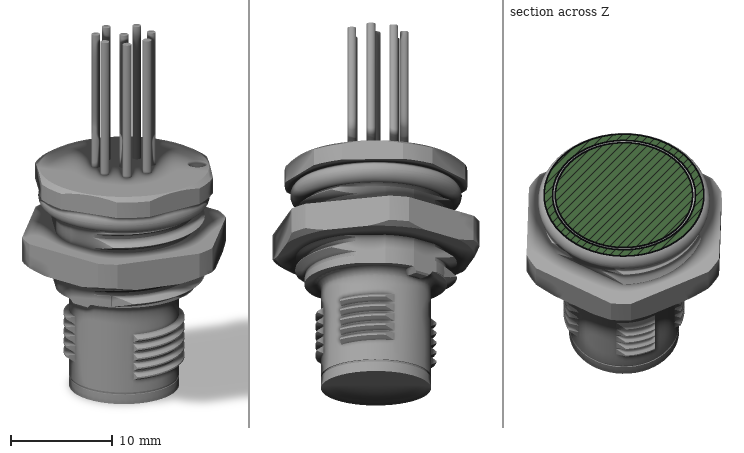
import cadquery as cq
import math

TOTAL_HEIGHT = 37.0

BARREL_RADIUS = 5.45
END_RING_HEIGHT = 1.0
END_GROOVE_WIDTH = 0.22
END_GROOVE_DEPTH = 0.1
SHOULDER_FILLET = 0.7

BARREL_THREAD_PITCH = 1.0
BARREL_THREAD_TURNS = 5
BARREL_CREST_RADIUS = 6.0
BARREL_TOOTH_BASE = 0.8
BARREL_TOOTH_TIP = 0.15
BARREL_THREAD_START_ANGLE = -50.0
BARREL_THREAD_START_Z = 2.9
BARREL_FLAT_OFFSET = 5.0
BLOCK_END_LEAN = 30.0
THREAD_BLOCKS = [(188.0, 1, -1), (155.5, -1, 1), (-41.3, 1, 1)]

BODY_BOTTOM = 10.75
BODY_TOP = 18.75
BODY_ROOT_RADIUS = 7.03
BODY_CORNER_RADIUS = 6.95
BODY_CREST_RADIUS = 8.0
BODY_FLAT_OFFSET = 6.85
BODY_FLAT_ANGLES = (90.0, -90.0, -135.0)
BODY_THREAD_PITCH = 1.5 * BARREL_THREAD_PITCH
BODY_THREAD_TURNS = 5.2
BODY_TOOTH_BASE = 1.15
BODY_TOOTH_TIP = 0.05
BODY_THREAD_START_ANGLE = -61.0
BODY_THREAD_START_Z = 11.45
BODY_THREAD_END_FACE_ANGLE = 13.0
LAND_HEIGHT = 0.055
NECK_RADIUS = 6.8

TAB_HEIGHT = 0.55
TAB_TOP_WIDTH = 2.5
TAB_BOTTOM_WIDTH = 1.55
TAB_CHAMFER = 0.2

NUT_BOTTOM = 13.7
NUT_HEIGHT = 2.92
NUT_ACROSS_FLATS = 19.0
NUT_ACROSS_CORNERS = 20.9
NUT_FACE_RADIUS = 9.75

FLANGE_BOTTOM = 21.0
FLANGE_HEIGHT = 2.0
FLANGE_ACROSS_FLATS = 17.02
FLANGE_CORNER_RADIUS = 9.03
FLANGE_FACE_RADIUS = 8.4
FLANGE_TURN = 15.0
HEX_CHAMFER_ANGLE = 30.0

ORING_SECTION_RADIUS = 1.0
ORING_CENTRE_RADIUS = 7.47

DIMPLE_ANGLE = 45.0
DIMPLE_OFFSET = 7.3
DIMPLE_RADIUS = 0.95
DIMPLE_FLOOR_RADIUS = 0.78
DIMPLE_DEPTH = 0.2

WIRE_DIAMETER = 0.85
WIRE_CIRCLE_RADIUS = 2.78
WIRE_COUNT = 7
WIRE_STEP = 49.0
MIDDLE_WIRE_ANGLE = -45.0

OVERLAP = 0.1
REACH = 14.8
BLOCK_END_REACH = 2.22

FLANGE_TOP = FLANGE_BOTTOM + FLANGE_HEIGHT


def polar(radius, angle):
    """Point at the given radius and angle (degrees) in the XY plane."""
    return (radius * math.cos(math.radians(angle)), radius * math.sin(math.radians(angle)))


def disc(radius, bottom, top):
    """Cylinder about the Z axis between two heights."""
    return cq.Workplane("XY").workplane(offset=bottom).circle(radius).extrude(top - bottom)


def helical_tooth(root_radius, crest_radius, base, tip, pitch, turns, start_angle, start_z):
    """Right-handed thread ridge whose foot is sunk slightly into the core."""
    foot_radius = root_radius - OVERLAP
    flank_slope = (base - tip) / (crest_radius - root_radius)
    foot_width = base + flank_slope * OVERLAP
    path = cq.Wire.makeHelix(pitch, pitch * turns, foot_radius)
    profile = [
        (foot_radius, -foot_width / 2),
        (crest_radius, -tip / 2),
        (crest_radius, tip / 2),
        (foot_radius, foot_width / 2),
    ]
    ridge = cq.Workplane("XZ").polyline(profile).close().sweep(cq.Workplane(path), isFrenet=True)
    return ridge.rotate((0, 0, 0), (0, 0, 1), start_angle).translate((0, 0, start_z))


def rounded_hexagon(across_flats, corner_radius, bottom, height):
    """Hexagonal prism with flats facing +Y and -Y and its corners turned to a cylinder."""
    across_corners = across_flats / math.cos(math.radians(30))
    prism = cq.Workplane("XY").workplane(offset=bottom).polygon(6, across_corners).extrude(height)
    return prism.intersect(disc(corner_radius, bottom, bottom + height))


def corner_cone(face_radius, face_z, inward):
    """Cone bounding a chamfered hexagon face; it widens in the inward Z direction (+1 or -1)."""
    rise = (REACH - face_radius) * math.tan(math.radians(HEX_CHAMFER_ANGLE))
    outline = [
        (0, face_z),
        (face_radius, face_z),
        (REACH, face_z + inward * rise),
        (REACH, face_z + inward * REACH),
        (0, face_z + inward * REACH),
    ]
    return cq.Workplane("XZ").polyline(outline).close().revolve(360, (0, 0), (0, 1))


def make_barrel():
    """Round barrel with an end groove and a concave fillet up to the threaded body."""
    groove_radius = BARREL_RADIUS - END_GROOVE_DEPTH
    groove_top = END_RING_HEIGHT + END_GROOVE_WIDTH
    fillet_bottom = BODY_BOTTOM - SHOULDER_FILLET
    fillet_outer = BARREL_RADIUS + SHOULDER_FILLET
    fillet_middle = (
        fillet_outer - SHOULDER_FILLET * math.cos(math.radians(45)),
        fillet_bottom + SHOULDER_FILLET * math.sin(math.radians(45)),
    )
    outline = (
        cq.Workplane("XZ")
        .moveTo(0, 0)
        .lineTo(BARREL_RADIUS, 0)
        .lineTo(BARREL_RADIUS, END_RING_HEIGHT)
        .lineTo(groove_radius, END_RING_HEIGHT)
        .lineTo(groove_radius, groove_top)
        .lineTo(BARREL_RADIUS, groove_top)
        .lineTo(BARREL_RADIUS, fillet_bottom)
        .threePointArc(fillet_middle, (fillet_outer, BODY_BOTTOM))
        .lineTo(0, BODY_BOTTOM)
        .close()
    )
    return outline.revolve(360, (0, 0), (0, 1))


def make_block_prism(end_angle, lean_side, flat_side):
    """Prism around one thread block, from its leaning end face to its flat parallel to XZ."""
    foot_x, foot_y = polar(BARREL_RADIUS, end_angle)
    step_x, step_y = polar(BLOCK_END_REACH, end_angle + lean_side * BLOCK_END_LEAN)
    outer_x = foot_x + step_x
    flat_y = flat_side * BARREL_FLAT_OFFSET
    outline = [(0, 0), (foot_x, foot_y), (outer_x, foot_y + step_y), (outer_x, flat_y), (0, flat_y)]
    return cq.Workplane("XY").polyline(outline).close().extrude(BODY_BOTTOM)


def make_barrel_thread():
    """Helical barrel ridge reduced to its three blocks."""
    ridge = helical_tooth(
        BARREL_RADIUS, BARREL_CREST_RADIUS, BARREL_TOOTH_BASE, BARREL_TOOTH_TIP,
        BARREL_THREAD_PITCH, BARREL_THREAD_TURNS, BARREL_THREAD_START_ANGLE, BARREL_THREAD_START_Z,
    )
    blocks = cq.Workplane("XY")
    for end_angle, lean_side, flat_side in THREAD_BLOCKS:
        blocks = blocks.add(ridge.intersect(make_block_prism(end_angle, lean_side, flat_side)).solids())
    return blocks


def make_body_ridge():
    """Body thread whose lower end is cut off by a slanting upright face."""
    ridge = helical_tooth(
        BODY_ROOT_RADIUS, BODY_CREST_RADIUS, BODY_TOOTH_BASE, BODY_TOOTH_TIP,
        BODY_THREAD_PITCH, BODY_THREAD_TURNS, BODY_THREAD_START_ANGLE, BODY_THREAD_START_Z,
    )
    foot_x, foot_y = polar(BODY_ROOT_RADIUS, BODY_THREAD_START_ANGLE)
    step_x, step_y = polar(REACH, BODY_THREAD_END_FACE_ANGLE)
    end_x = foot_x + step_x
    outline = [(foot_x, foot_y), (end_x, foot_y + step_y), (end_x, -REACH), (foot_x, -REACH)]
    waste_top = BODY_THREAD_START_Z + BODY_THREAD_PITCH / 2
    waste = cq.Workplane("XY").polyline(outline).close().extrude(waste_top)
    return ridge.cut(waste)


def make_lead_in_land():
    """Low land that continues the body thread for one turn below its start."""
    return helical_tooth(
        BODY_ROOT_RADIUS, BODY_ROOT_RADIUS + LAND_HEIGHT, BODY_TOOTH_BASE, BODY_TOOTH_BASE - LAND_HEIGHT,
        BODY_THREAD_PITCH, 1, BODY_THREAD_START_ANGLE, BODY_THREAD_START_Z - BODY_THREAD_PITCH,
    )


def make_body():
    """Threaded body with three flats and no thread between the two neighbouring ones."""
    envelope = disc(REACH, BODY_BOTTOM, BODY_TOP)
    for angle in BODY_FLAT_ANGLES:
        waste = cq.Workplane("XY").box(REACH, 2 * REACH, TOTAL_HEIGHT, centered=(False, True, False))
        waste = waste.translate((BODY_FLAT_OFFSET, 0, 0)).rotate((0, 0, 0), (0, 0, 1), angle)
        envelope = envelope.cut(waste)
    plain_sector = (
        cq.Workplane("XY")
        .polyline([(0, 0), polar(2 * REACH, BODY_FLAT_ANGLES[2]), polar(2 * REACH, BODY_FLAT_ANGLES[1])])
        .close()
        .extrude(TOTAL_HEIGHT)
    )
    thread_envelope = envelope.cut(plain_sector)
    core = disc(BODY_ROOT_RADIUS, BODY_BOTTOM, BODY_TOP).cut(plain_sector)
    core = core.union(disc(BODY_CORNER_RADIUS, BODY_BOTTOM, BODY_TOP)).intersect(envelope)
    for ridge in (make_lead_in_land(), make_body_ridge()):
        core = core.union(ridge.intersect(thread_envelope), clean=False)
    return core


def make_tab():
    """Tapered locating tab below the body, flush with the -Y flat and chamfered in front."""
    tab_bottom = BODY_BOTTOM - TAB_HEIGHT
    outline = [
        (-TAB_TOP_WIDTH / 2, BODY_BOTTOM),
        (-TAB_BOTTOM_WIDTH / 2, tab_bottom),
        (TAB_BOTTOM_WIDTH / 2, tab_bottom),
        (TAB_TOP_WIDTH / 2, BODY_BOTTOM),
    ]
    tab = (
        cq.Workplane("XZ", origin=(0, -BODY_FLAT_OFFSET, 0))
        .polyline(outline)
        .close()
        .extrude(-BODY_FLAT_OFFSET)
    )
    return tab.faces("<Y").edges("<Z").chamfer(TAB_CHAMFER)


def make_nut():
    """Hexagonal nut with its lower corners chamfered."""
    nut = rounded_hexagon(NUT_ACROSS_FLATS, NUT_ACROSS_CORNERS / 2, NUT_BOTTOM, NUT_HEIGHT)
    return nut.intersect(corner_cone(NUT_FACE_RADIUS, NUT_BOTTOM, 1))


def make_flange():
    """Turned hexagonal flange with upper corners chamfered and a shallow conical dimple."""
    flange = rounded_hexagon(FLANGE_ACROSS_FLATS, FLANGE_CORNER_RADIUS, FLANGE_BOTTOM, FLANGE_HEIGHT)
    flange = flange.rotate((0, 0, 0), (0, 0, 1), FLANGE_TURN)
    flange = flange.intersect(corner_cone(FLANGE_FACE_RADIUS, FLANGE_TOP, -1))
    dimple = cq.Workplane("XY").add(
        cq.Solid.makeCone(
            DIMPLE_FLOOR_RADIUS, DIMPLE_RADIUS, DIMPLE_DEPTH,
            pnt=cq.Vector(*polar(DIMPLE_OFFSET, DIMPLE_ANGLE), FLANGE_TOP - DIMPLE_DEPTH),
        )
    )
    return flange.cut(dimple)


def make_oring():
    """Ring of round section touching the underside of the flange."""
    centre_z = FLANGE_BOTTOM - ORING_SECTION_RADIUS
    section = cq.Workplane("XZ").center(ORING_CENTRE_RADIUS, centre_z).circle(ORING_SECTION_RADIUS)
    return section.revolve(360, (-ORING_CENTRE_RADIUS, 0), (-ORING_CENTRE_RADIUS, 1))


def make_wires():
    """Straight wires rising from the flange to the full height."""
    first_angle = MIDDLE_WIRE_ANGLE - WIRE_STEP * (WIRE_COUNT - 1) / 2
    places = [(0, 0)]
    for index in range(WIRE_COUNT):
        places.append(polar(WIRE_CIRCLE_RADIUS, first_angle + index * WIRE_STEP))
    wires = cq.Workplane("XY").workplane(offset=FLANGE_BOTTOM).pushPoints(places).circle(WIRE_DIAMETER / 2)
    return wires.extrude(TOTAL_HEIGHT - FLANGE_BOTTOM)


head = disc(NECK_RADIUS, BODY_TOP, FLANGE_BOTTOM).union(make_oring()).union(make_flange()).union(make_wires())

barrel = make_barrel()
for tooth in make_barrel_thread().vals():
    barrel = barrel.union(cq.Workplane(tooth), clean=False)

result = make_body().union(make_nut()).union(make_tab()).union(barrel).union(head)